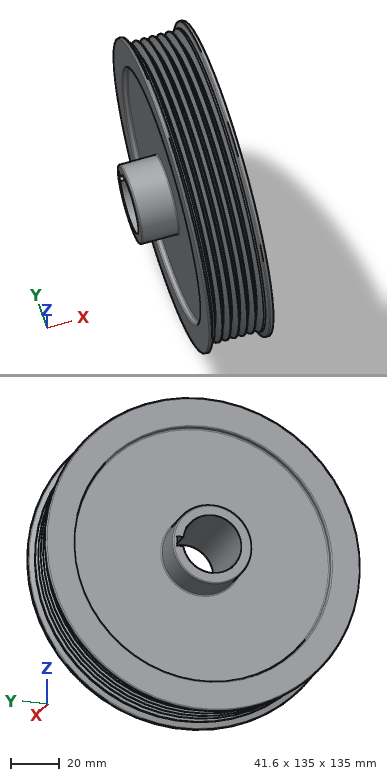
import cadquery as cq
import math

total_length = 41.6
rim_width = 28.0
flange_radius = 67.5
rim_start = total_length - rim_width

hub_radius = 17.0
hub_end_round = 0.5
hub_base_round = 0.5
bore_radius = 12.5
keyway_width = 4.0
keyway_depth = 15.0

recess_radius = 55.0
recess_depth = 2.5
recess_round = 0.5
web_start = rim_start + recess_depth

groove_count = 6
groove_pitch = 3.56
groove_root_radius = 60.3
groove_root_width = 0.3
rib_tip_radius = 64.6
rib_tip_width = 0.4
shoulder_radius = 64.9
left_flange_width = 1.6
right_flange_width = 1.9
flange_slope_width = 0.9
flange_edge_round = 0.5
left_flange_edge = rim_start + left_flange_width
right_flange_edge = total_length - right_flange_width
track_centre = (left_flange_edge + right_flange_edge) / 2
cutter_clearance = 1.0


def revolve_about_x(outline):
    """Solid of revolution from points given as (X, radius)."""
    axis_start = (0, 0)
    axis_end = (1, 0)
    return cq.Workplane("XZ").polyline(outline).close().revolve(360, axis_start, axis_end)


def make_blank():
    """Turned body with a plain rim: hub, recessed web and smooth outside."""
    outline = [
        (0, 0),
        (0, hub_radius),
        (web_start, hub_radius),
        (web_start, recess_radius),
        (rim_start, recess_radius),
        (rim_start, flange_radius),
        (total_length, flange_radius),
        (total_length, 0),
    ]
    return revolve_about_x(outline)


def belt_track_cutter():
    """Ring between the flanges whose inner boundary is the V-ribbed belt profile."""
    half_tip = rib_tip_width / 2
    half_root = groove_root_width / 2
    half_span = groove_count * groove_pitch / 2
    track_start = track_centre - half_span
    track_end = track_centre + half_span
    profile = [
        (left_flange_edge, flange_radius),
        (left_flange_edge + flange_slope_width, shoulder_radius),
        (track_start + half_tip, shoulder_radius),
    ]
    for index in range(groove_count):
        root = track_start + (index + 0.5) * groove_pitch
        profile.append((root - half_root, groove_root_radius))
        profile.append((root + half_root, groove_root_radius))
        if index < groove_count - 1:
            rib_middle = root + groove_pitch / 2
            profile.append((rib_middle - half_tip, rib_tip_radius))
            profile.append((rib_middle + half_tip, rib_tip_radius))
    profile += [
        (track_end - half_tip, shoulder_radius),
        (right_flange_edge - flange_slope_width, shoulder_radius),
        (right_flange_edge, flange_radius),
    ]
    clearance_radius = flange_radius + cutter_clearance
    profile += [(right_flange_edge, clearance_radius), (left_flange_edge, clearance_radius)]
    return revolve_about_x(profile)


def round_edge(solid, x, radius, fillet_radius):
    """Fillet the circular edge that has this radius and lies at this X."""
    position_tolerance = 0.001

    def is_wanted(edge):
        same_radius = math.isclose(edge.radius(), radius)
        same_place = math.isclose(edge.Center().x, x, abs_tol=position_tolerance)
        return same_radius and same_place

    return solid.edges("%CIRCLE").filter(is_wanted).fillet(fillet_radius)


def bore_cutter():
    """Through bore with a keyway on its +Y side."""
    bore = cq.Workplane("YZ").circle(bore_radius).extrude(total_length)
    keyway = (
        cq.Workplane("YZ")
        .center(keyway_depth / 2, 0)
        .rect(keyway_depth, keyway_width)
        .extrude(total_length)
    )
    return bore.union(keyway)


body = make_blank().cut(belt_track_cutter())
body = round_edge(body, 0, hub_radius, hub_end_round)
body = round_edge(body, web_start, hub_radius, hub_base_round)
body = round_edge(body, web_start, recess_radius, recess_round)
body = round_edge(body, rim_start, recess_radius, recess_round)
for flange_edge in (rim_start, left_flange_edge, right_flange_edge, total_length):
    body = round_edge(body, flange_edge, flange_radius, flange_edge_round)
result = body.cut(bore_cutter())